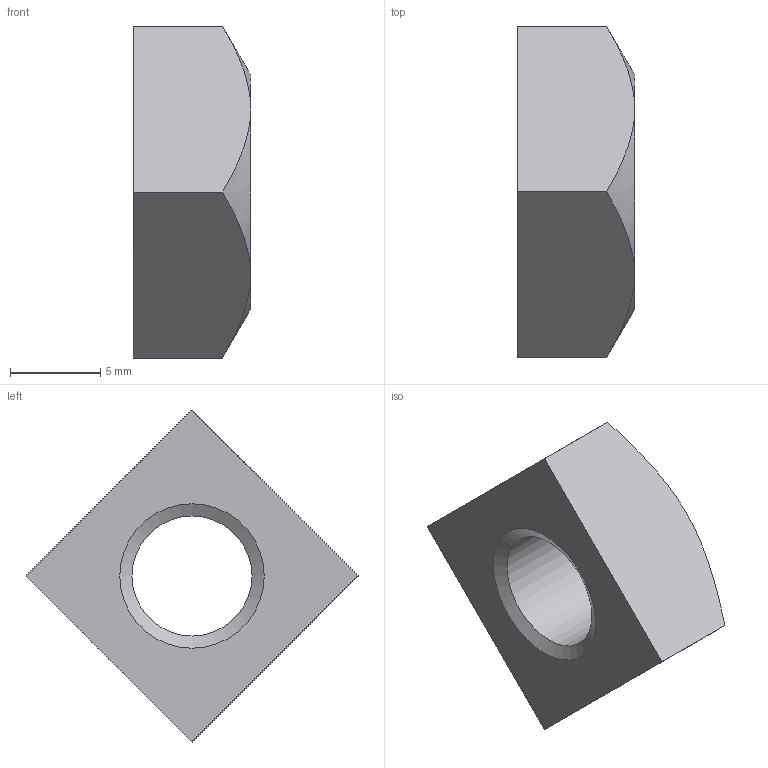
import cadquery as cq
import math

width_across_flats = 13.0
thickness = 6.5
bore_diameter = 6.65
countersink_diameter = 8.0
countersink_angle = 120.0
crown_angle = 30.0

corner_radius = width_across_flats / math.sqrt(2)
crown_flat_radius = width_across_flats / 2
crown_drop = (corner_radius - crown_flat_radius) * math.tan(math.radians(crown_angle))
countersink_width = (countersink_diameter - bore_diameter) / 2
countersink_depth = countersink_width / math.tan(math.radians(countersink_angle / 2))


def revolve_about_x(points):
    """Revolve a closed (x, radius) outline about the X axis."""
    return cq.Workplane("XY").polyline(points).close().revolve(360, (0, 0, 0), (1, 0, 0))


def square_block():
    """Square prism from x = 0 with its corners on the Y and Z axes."""
    return (
        cq.Workplane("YZ")
        .transformed(rotate=(0, 0, 45))
        .rect(width_across_flats, width_across_flats)
        .extrude(thickness)
    )


def crown_envelope():
    """Cylinder through the corners whose +X end is a truncated cone."""
    return revolve_about_x([
        (0, 0),
        (0, corner_radius),
        (thickness - crown_drop, corner_radius),
        (thickness, crown_flat_radius),
        (thickness, 0),
    ])


def countersunk_bore():
    """Through bore, countersunk at the flat face x = 0."""
    bore_radius = bore_diameter / 2
    return revolve_about_x([
        (0, 0),
        (0, countersink_diameter / 2),
        (countersink_depth, bore_radius),
        (thickness, bore_radius),
        (thickness, 0),
    ])


result = square_block().intersect(crown_envelope()).cut(countersunk_bore())